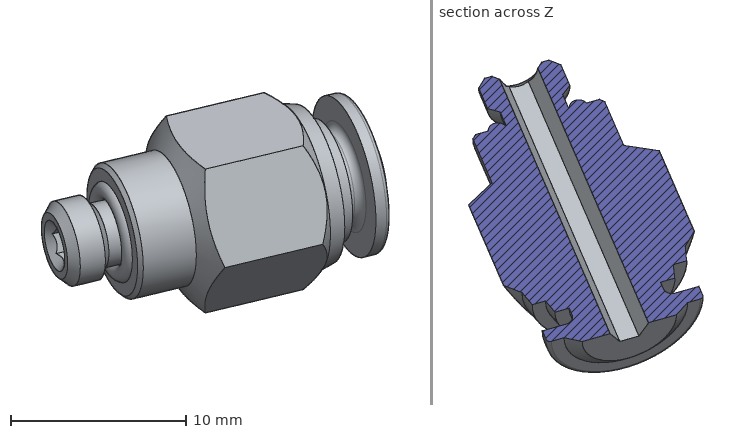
import cadquery as cq
import math


tip_radius = 2.5
tip_chamfer = 0.55
relief_radius = 1.9
relief_bevel_start = 2.1
relief_bevel_end = 2.57

collar_radius = 4.0
collar_chamfer = 0.25
collar_start = 3.57
collar_end = 7.1

seal_outer_radius = 3.0
seal_front = 3.18

hex_across_flats = 10.0
hex_corner_radius = hex_across_flats / math.sqrt(3)
front_bevel_angle = 30.0
hex_end = 15.0
rear_bevel_angle = 45.0

rear_taper_angle = 15.0
body_step_radius = 4.95
body_step_end = 16.0
guide_ring_radius = 3.88
guide_ring_end = 16.93

neck_radius = 2.78
neck_fillet = 0.5
flange_radius = 4.75
flange_start = 17.9
flange_end = 18.8
flange_edge_fillet = 0.24
button_base_radius = 3.74
button_end_radius = 2.85
total_length = 19.4

key_across_flats = 2.0
key_entry_radius = 1.5


def revolve_about_y(profile):
    """Turn a closed outline in the XY plane (X = radius) about the Y axis."""
    return profile.close().revolve(360, (0, 0, 0), (0, 1, 0))


def hex_prism(across_flats, start, end):
    """Hexagonal prism along Y with flats facing +Z and -Z."""
    corner_diameter = across_flats * 2 / math.sqrt(3)
    return (
        cq.Workplane("XZ", origin=(0, start, 0))
        .polygon(6, corner_diameter)
        .extrude(start - end)
    )


def make_tip_and_collar():
    """Chamfered tip, narrow relief groove and round collar."""
    return revolve_about_y(
        cq.Workplane("XY")
        .lineTo(tip_radius - tip_chamfer, 0)
        .lineTo(tip_radius, tip_chamfer)
        .lineTo(tip_radius, relief_bevel_start)
        .lineTo(relief_radius, relief_bevel_end)
        .lineTo(relief_radius, collar_start)
        .lineTo(collar_radius - collar_chamfer, collar_start)
        .lineTo(collar_radius, collar_start + collar_chamfer)
        .lineTo(collar_radius, collar_end)
        .lineTo(0, collar_end)
    )


def make_seal():
    """Full ring of round section, tight around the relief groove."""
    section_radius = (seal_outer_radius - relief_radius) / 2
    ring_radius = relief_radius + section_radius
    return (
        cq.Workplane("XY")
        .center(ring_radius, seal_front + section_radius)
        .circle(section_radius)
        .revolve(360, (-ring_radius, 0, 0), (-ring_radius, 1, 0))
    )


def make_hex_body():
    """Hexagonal prism whose corners are bevelled by a cone at each end.

    The front bevel angle is measured from the end plane, like the rear one.
    """
    front_rise = math.tan(math.radians(front_bevel_angle))
    rear_rise = math.tan(math.radians(rear_bevel_angle))
    front_bevel_end = collar_end + (hex_corner_radius - collar_radius) * front_rise
    rear_bevel_start = hex_end - (hex_corner_radius - body_step_radius) * rear_rise
    bevel_envelope = revolve_about_y(
        cq.Workplane("XY")
        .moveTo(0, collar_end)
        .lineTo(collar_radius, collar_end)
        .lineTo(hex_corner_radius, front_bevel_end)
        .lineTo(hex_corner_radius, rear_bevel_start)
        .lineTo(body_step_radius, hex_end)
        .lineTo(0, hex_end)
    )
    return hex_prism(hex_across_flats, collar_end, hex_end).intersect(bevel_envelope)


def make_tapered_step(base_radius, start, end):
    """Step that narrows towards +Y at the rear taper angle."""
    narrowing = (end - start) * math.tan(math.radians(rear_taper_angle))
    return revolve_about_y(
        cq.Workplane("XY")
        .moveTo(0, start)
        .lineTo(base_radius, start)
        .lineTo(base_radius - narrowing, end)
        .lineTo(0, end)
    )


def make_release_button():
    """Neck flaring into a round-edged flange with a conical end."""
    return revolve_about_y(
        cq.Workplane("XY")
        .moveTo(0, guide_ring_end)
        .lineTo(neck_radius, guide_ring_end)
        .lineTo(neck_radius, flange_start - neck_fillet)
        .radiusArc((neck_radius + neck_fillet, flange_start), neck_fillet)
        .lineTo(flange_radius, flange_start)
        .lineTo(flange_radius, flange_end - flange_edge_fillet)
        .radiusArc((flange_radius - flange_edge_fillet, flange_end), -flange_edge_fillet)
        .lineTo(button_base_radius, flange_end)
        .lineTo(button_end_radius, total_length)
        .lineTo(0, total_length)
    )


def make_key_passage():
    """Hexagonal through passage with a conical lead-in at the tip."""
    lead_in = revolve_about_y(
        cq.Workplane("XY")
        .lineTo(key_entry_radius, 0)
        .lineTo(0, key_entry_radius)
    )
    return hex_prism(key_across_flats, 0, total_length).union(lead_in)


result = (
    make_tip_and_collar()
    .union(make_seal())
    .union(make_hex_body())
    .union(make_tapered_step(body_step_radius, hex_end, body_step_end))
    .union(make_tapered_step(guide_ring_radius, body_step_end, guide_ring_end))
    .union(make_release_button())
    .cut(make_key_passage())
)